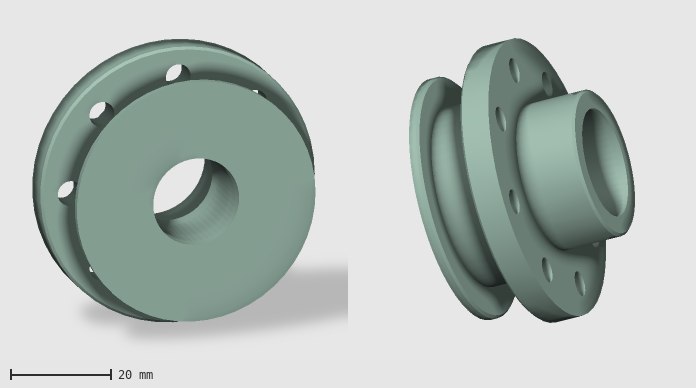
import cadquery as cq

hub_length = 12.7
flange_thickness = 6.35
neck_length = 10.7
rim_thickness = 2.05

hub_diameter = 30.2
flange_diameter = 57.15
neck_diameter = 37.15
rim_diameter = 49.7
socket_diameter = 22.25
bore_diameter = 17.9

bolt_hole_count = 8
bolt_hole_diameter = 5.15
bolt_circle_diameter = 45.0
chamfer_size = 0.5

flange_start = hub_length
neck_start = flange_start + flange_thickness
rim_start = neck_start + neck_length
total_length = rim_start + rim_thickness
socket_depth = flange_start


def disc(start, length, diameter):
    """Cylinder along +X, beginning at the given axial position."""
    return cq.Workplane("YZ", origin=(start, 0, 0)).circle(diameter / 2).extrude(length)


hub = disc(0, hub_length, hub_diameter).faces("<X").chamfer(chamfer_size)
flange = disc(flange_start, flange_thickness, flange_diameter).faces(">X").chamfer(chamfer_size)
neck = disc(neck_start, neck_length, neck_diameter)
rim = disc(rim_start, rim_thickness, rim_diameter).faces("<X").chamfer(chamfer_size)

bolt_holes = (
    cq.Workplane("YZ", origin=(flange_start, 0, 0))
    .polarArray(bolt_circle_diameter / 2, 0, 360, bolt_hole_count)
    .circle(bolt_hole_diameter / 2)
    .extrude(flange_thickness)
)
flange = flange.cut(bolt_holes)

socket = disc(0, socket_depth, socket_diameter)
bore = disc(0, total_length, bore_diameter)

result = hub.union(flange).union(neck).union(rim).cut(socket).cut(bore)